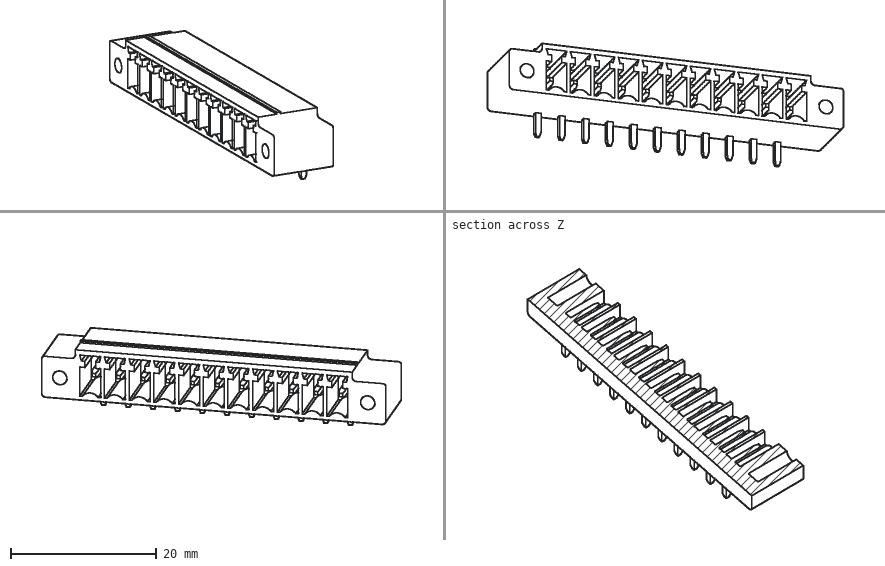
import cadquery as cq

length = 48.8
depth = 9.2
body_length = 39.25
body_height = 7.3
flange_height = 6.0
step_fillet = 0.6
flange_top_fillet = 0.45
flange_bottom_fillet = 0.6

ridge_setback = 2.95
ridge_width = 0.6
ridge_height = 0.25

hole_diameter = 2.0
hole_depth = 6.85
hole_spacing = 43.65
contact_height = 3.05

position_count = 11
row_span = 35.0
pitch = row_span / (position_count - 1)

cavity_width = 3.0
cavity_depth = 6.85
cavity_floor = 0.6
shoulder_height = 4.85
neck_width = 1.5
neck_top = 5.75
keyway_base_width = 2.5
cavity_top = 6.6
bump_width = 2.25
bump_height = 0.6

pin_width = 0.85
pin_tip_width = 0.5
pin_tip_length = 0.65
pin_recess = 2.15
pin_drop = 3.35
pin_back_offset = 1.15


def make_housing():
    """Body with a lower mounting flange at each end and a ridge on top."""
    body = cq.Workplane("XY").box(body_length, depth, body_height, centered=(True, False, False))
    flanges = cq.Workplane("XY").box(length, depth, flange_height, centered=(True, False, False))
    flanges = flanges.edges("|Y and >Z").fillet(flange_top_fillet)
    flanges = flanges.edges("|Y and <Z").fillet(flange_bottom_fillet)
    ridge = (
        cq.Workplane("XY")
        .box(body_length, ridge_width, ridge_height, centered=(True, False, False))
        .translate((0, ridge_setback, body_height))
    )
    housing = body.union(flanges)
    for side in (-1, 1):
        step_edge = cq.selectors.NearestToPointSelector((side * body_length / 2, depth / 2, flange_height))
        housing = housing.edges("|Y").edges(step_edge).fillet(step_fillet)
    return housing.union(ridge)


def make_cavity():
    """Keyed cavity with an arched floor, centred on X = 0 and open at Y = 0."""
    half_width = cavity_width / 2
    half_neck = neck_width / 2
    half_keyway = keyway_base_width / 2
    half_bump = bump_width / 2
    return (
        cq.Workplane("XZ")
        .moveTo(-half_width, cavity_floor)
        .lineTo(-half_bump, cavity_floor)
        .threePointArc((0, cavity_floor + bump_height), (half_bump, cavity_floor))
        .lineTo(half_width, cavity_floor)
        .lineTo(half_width, shoulder_height)
        .lineTo(half_neck, shoulder_height)
        .lineTo(half_neck, neck_top)
        .lineTo(half_keyway, neck_top)
        .lineTo(half_width, cavity_top)
        .lineTo(-half_width, cavity_top)
        .lineTo(-half_keyway, neck_top)
        .lineTo(-half_neck, neck_top)
        .lineTo(-half_neck, shoulder_height)
        .lineTo(-half_width, shoulder_height)
        .close()
        .extrude(-cavity_depth)
    )


def make_pin_leg(leg_length):
    """Square leg along +Z from the origin, tapered at its far end."""
    shank_length = leg_length - pin_tip_length
    shank = cq.Workplane("XY").rect(pin_width, pin_width).extrude(shank_length)
    tip = (
        cq.Workplane("XY", origin=(0, 0, shank_length))
        .rect(pin_width, pin_width)
        .workplane(offset=pin_tip_length)
        .rect(pin_tip_width, pin_tip_width)
        .loft()
    )
    return shank.union(tip)


def make_pin():
    """Right-angle pin: one leg toward the mating face, one leg down."""
    bend_y = depth - pin_back_offset
    contact = make_pin_leg(bend_y - pin_recess).rotate((0, 0, 0), (1, 0, 0), 90)
    tail = make_pin_leg(contact_height + pin_drop).rotate((0, 0, 0), (1, 0, 0), 180)
    return contact.union(tail).translate((0, bend_y, contact_height))


result = make_housing()

flange_holes = (
    cq.Workplane("XZ")
    .pushPoints([(-hole_spacing / 2, contact_height), (hole_spacing / 2, contact_height)])
    .circle(hole_diameter / 2)
    .extrude(-hole_depth)
)
result = result.cut(flange_holes)

cavity = make_cavity()
pin = make_pin()
for position in range(position_count):
    offset = (position * pitch - row_span / 2, 0, 0)
    result = result.cut(cavity.translate(offset)).union(pin.translate(offset))